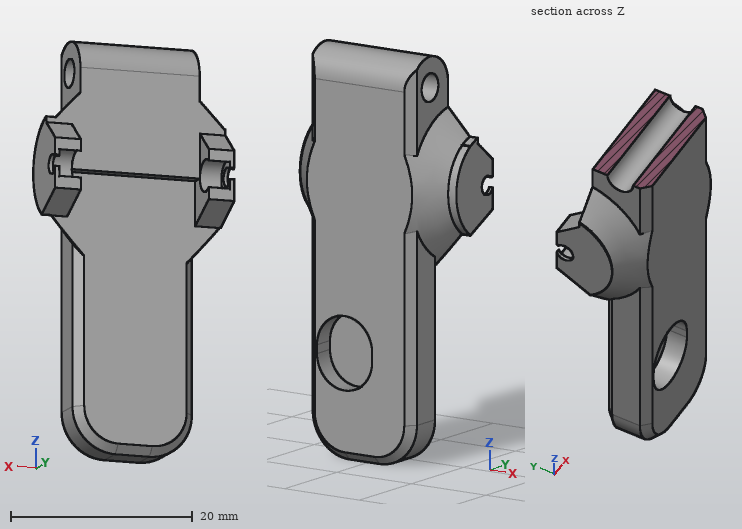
import cadquery as cq


arm_width = 14.0
hinge_radius = 3.5
hinge_bore = 3.2
arm_length = 46.1
arm_thickness = 5.5
corner_radius = 5.0
edge_chamfer = 1.0

front_y = -hinge_radius
upper_back_y = hinge_radius
arm_back_y = front_y + arm_thickness
top_z = hinge_radius
bottom_z = top_z - arm_length
half_width = arm_width / 2

total_depth = 9.83
lug_back_y = front_y + total_depth
pin_setback = 1.0
pin_y = lug_back_y - pin_setback
pin_z = -11.5
pin_diameter = 2.15
mouth_lip_offset = 0.75
mouth_rim_height = 0.9
recess_radius = 1.8
lug_outer_wall = 0.5
hub_radius = 6.0
hub_left_x = -10.0
hub_right_x = 11.0
cone_end_x = 9.9
cone_base_x = half_width - edge_chamfer
cone_base_radius = hub_radius + cone_end_x - cone_base_x
lug_thickness = 3.0
lug_half_height = 5.05
lug_top_z = -8.7
lug_bottom_z = -14.35
step_z = pin_z

pocket_x = -2.0
pocket_z = -30.45
pocket_width = 7.4
pocket_height = 8.4
pocket_depth = 2.5


def box(x0, x1, y0, y1, z0, z1):
    """Box between opposite corner coordinates."""
    return cq.Workplane("XY").box(x1 - x0, y1 - y0, z1 - z0, centered=False).translate((x0, y0, z0))


def prism_along_x(outline, x0, x1):
    """Extrude a closed YZ outline from x0 to x1."""
    return outline.extrude(x1 - x0).translate((x0, 0, 0))


def side_envelope():
    """Side outline shared by arm and hub: round hinge end, thick upper part, thinner arm below."""
    outline = (
        cq.Workplane("YZ")
        .moveTo(front_y, bottom_z)
        .lineTo(front_y, 0)
        .threePointArc((0, top_z), (upper_back_y, 0))
        .lineTo(upper_back_y, step_z)
        .lineTo(arm_back_y, step_z)
        .lineTo(arm_back_y, bottom_z)
        .close()
    )
    return prism_along_x(outline, hub_left_x, hub_right_x)


def lower_arm():
    """Thin arm with rounded bottom corners, chamfered front and back."""
    arm = box(-half_width, half_width, front_y, arm_back_y, bottom_z, step_z)
    arm = arm.edges("|Y and <Z").fillet(corner_radius)
    return arm.faces("<Y or >Y").edges("not >Z").chamfer(edge_chamfer)


def upper_arm():
    """Thick hinge end, chamfered along its two front edges."""
    block = box(-half_width, half_width, front_y, upper_back_y, step_z, top_z)
    return block.edges("|Z and <Y").chamfer(edge_chamfer)


def hub():
    """Cone on each side of the arm, ending in short cylinders."""
    profile = [
        (hub_left_x, 0),
        (hub_left_x, hub_radius),
        (-cone_end_x, hub_radius),
        (-cone_base_x, cone_base_radius),
        (cone_base_x, cone_base_radius),
        (cone_end_x, hub_radius),
        (hub_right_x, hub_radius),
        (hub_right_x, 0),
    ]
    solid = cq.Workplane("XY").polyline(profile).close().revolve(360, (0, 0, 0), (1, 0, 0))
    return solid.translate((0, pin_y, pin_z))


def lug(x0):
    """Tapered lug standing behind the arm."""
    outline = cq.Workplane("YZ").polyline([
        (arm_back_y, pin_z + lug_half_height),
        (upper_back_y, pin_z + lug_half_height),
        (lug_back_y, lug_top_z),
        (lug_back_y, lug_bottom_z),
        (arm_back_y, pin_z - lug_half_height),
    ]).close()
    return prism_along_x(outline, x0, x0 + lug_thickness)


def disc_on_pin(radius, x0, x1):
    """Cylinder about the pin axis from x0 to x1."""
    return prism_along_x(cq.Workplane("YZ").center(pin_y, pin_z).circle(radius), x0, x1)


def pin_notch():
    """Pin seat through both lugs, with a flared mouth open to the back above the pin axis."""
    mouth = cq.Workplane("YZ").polyline([
        (pin_y, pin_z),
        (pin_y + mouth_lip_offset, pin_z + mouth_lip_offset),
        (lug_back_y, pin_z + mouth_rim_height),
        (lug_back_y, pin_z),
    ]).close()
    seat = disc_on_pin(pin_diameter / 2, hub_left_x, hub_right_x)
    return seat.union(prism_along_x(mouth, hub_left_x, hub_right_x))


def lug_recess(x0):
    """Wide recess around the pin seat, from x0 over the lug depth left by its outer wall."""
    return disc_on_pin(recess_radius, x0, x0 + lug_thickness - lug_outer_wall)


def pocket():
    """Blind pocket with semicircular ends, sunk from the front face."""
    return (
        cq.Workplane("XZ", origin=(pocket_x, front_y, pocket_z))
        .slot2D(pocket_height, pocket_width, 90)
        .extrude(-pocket_depth)
    )


hinge_hole = prism_along_x(cq.Workplane("YZ").circle(hinge_bore / 2), -half_width, half_width)

result = lower_arm().union(upper_arm()).union(hub()).intersect(side_envelope())
result = result.union(lug(hub_left_x)).union(lug(hub_right_x - lug_thickness))
result = result.cut(hinge_hole).cut(pin_notch()).cut(pocket())
result = result.cut(lug_recess(hub_left_x + lug_outer_wall)).cut(lug_recess(hub_right_x - lug_thickness))